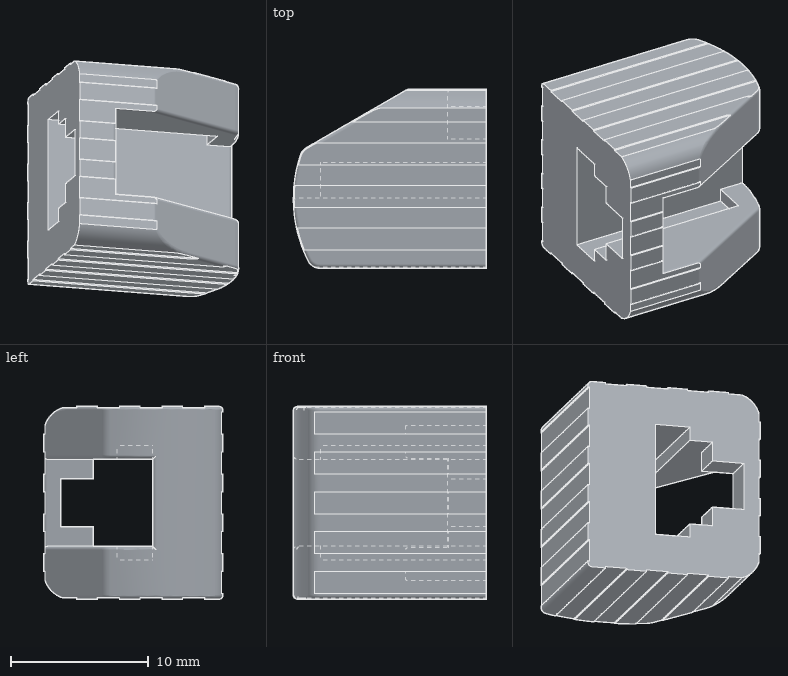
import cadquery as cq
import math

length = 14.0
width = 13.0
height = 14.0
side_y = width / 2
top_z = height / 2

nose_radius = 10.0
nose_center_y = -1.44
slope_end_x = 8.3
slope_angle = 30.0
corner_radius = 1.0

shoulder_radius = 2.0
edge_radius = 0.3

groove_depth = 0.1
groove_width = 1.6
side_groove_pitch = 2.88
side_groove_count = 5
cap_groove_pitch = 3.1
cap_groove_count = 4
first_cap_groove_y = -4.38

window_half_height = 3.15
window_floor_y = -1.4
window_end_x = 11.2

opening_top_y = 2.88
notch_half_height = 1.74
notch_top_y = 5.25

slot_start_x = 1.97
slot_top_y = 1.18
slot_depth = 1.0

overrun = 0.14


def box(x_range, y_range, z_range):
    """Axis-aligned box between the given limits."""
    sizes = [high - low for low, high in (x_range, y_range, z_range)]
    corner = (x_range[0], y_range[0], z_range[0])
    return cq.Workplane("XY").box(*sizes, centered=False).translate(corner)


def nearest_edges(body, points):
    """The edge whose middle is nearest to each of the given points."""
    return [body.edges(cq.selectors.NearestToPointSelector(point)).val() for point in points]


def make_body():
    """Extruded nose outline with rounded corners, shoulders and edges."""
    lower_x = nose_radius - math.sqrt(nose_radius**2 - (side_y + nose_center_y) ** 2)

    direction_x = -math.cos(math.radians(slope_angle))
    direction_y = -math.sin(math.radians(slope_angle))
    offset_x = slope_end_x - nose_radius
    offset_y = side_y - nose_center_y
    along = offset_x * direction_x + offset_y * direction_y
    slope_length = -along + math.sqrt(along**2 - offset_x**2 - offset_y**2 + nose_radius**2)
    upper_x = slope_end_x + slope_length * direction_x
    upper_y = side_y + slope_length * direction_y

    body = (
        cq.Workplane("XY")
        .workplane(offset=-top_z)
        .moveTo(length, -side_y)
        .lineTo(lower_x, -side_y)
        .threePointArc((0, nose_center_y), (upper_x, upper_y))
        .lineTo(slope_end_x, side_y)
        .lineTo(length, side_y)
        .close()
        .extrude(height)
    )
    nose_corners = nearest_edges(body, [(lower_x, -side_y, 0), (upper_x, upper_y, 0)])
    body = body.newObject(nose_corners).fillet(corner_radius)
    body = body.edges("|X and >Y").fillet(shoulder_radius)
    return body.faces("<Y").edges("|X").edges(">Z or <Z").fillet(edge_radius)


def cut_window(body):
    """Cut the window and round its rim on the nose, slope and +Y side."""
    body = body.cut(
        box(
            (-overrun, window_end_x),
            (window_floor_y, side_y + overrun),
            (-window_half_height, window_half_height),
        )
    )
    rim_x = (slope_end_x + window_end_x) / 2
    rim_points = [
        (rim_x, side_y, window_half_height),
        (rim_x, side_y, -window_half_height),
        (window_end_x, side_y, 0),
        (0, window_floor_y, 0),
    ]
    return body.newObject(nearest_edges(body, rim_points)).fillet(edge_radius)


def cut_grooves(body):
    """Cut the grip grooves into the two sides and into the top and bottom."""
    half_width = groove_width / 2
    x_range = (-overrun, length + overrun)
    for index in range(side_groove_count):
        z = (index - (side_groove_count - 1) / 2) * side_groove_pitch
        z_range = (z - half_width, z + half_width)
        body = body.cut(box(x_range, (-side_y - overrun, -side_y + groove_depth), z_range))
        body = body.cut(box(x_range, (side_y - groove_depth, side_y + overrun), z_range))
    for index in range(cap_groove_count):
        y = first_cap_groove_y + index * cap_groove_pitch
        y_range = (y - half_width, y + half_width)
        body = body.cut(box(x_range, y_range, (top_z - groove_depth, top_z + overrun)))
        body = body.cut(box(x_range, y_range, (-top_z - overrun, -top_z + groove_depth)))
    return body


def cut_wall_opening(body):
    """Cut the stepped opening from the window through to the +X face."""
    x_range = (window_end_x - overrun, length + overrun)
    wide_part = box(x_range, (window_floor_y, opening_top_y), (-window_half_height, window_half_height))
    notch = box(x_range, (window_floor_y, notch_top_y), (-notch_half_height, notch_half_height))
    return body.cut(wide_part).cut(notch)


def cut_guide_slots(body):
    """Sink matching slots into the window's upper and lower faces."""
    slot_half_height = window_half_height + slot_depth
    slots = box(
        (slot_start_x, length + overrun),
        (window_floor_y, slot_top_y),
        (-slot_half_height, slot_half_height),
    )
    return body.cut(slots)


result = make_body()
result = cut_window(result)
result = cut_grooves(result)
result = cut_wall_opening(result)
result = cut_guide_slots(result)